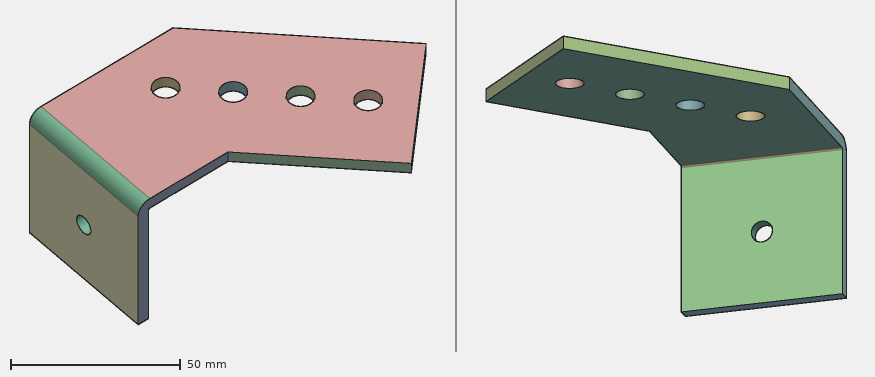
import cadquery as cq
import math

thickness = 4.0
inner_bend_radius = 0.5
outer_bend_radius = inner_bend_radius + thickness
strip_width = 50.0

flange_height = 50.0
flange_hole_diameter = 6.5
flange_hole_height = 22.5

turn_angle = 45.0
turn_center_y = 45.0
arm_outer_edge = 75.0
arm_hole_diameter = 8.5
arm_hole_count = 4
arm_hole_pitch = 20.0
arm_hole_end_distance = 15.0

along_x = math.sin(math.radians(turn_angle))
along_y = math.cos(math.radians(turn_angle))
across_x = along_y
across_y = -along_x

mitre_offset = strip_width / 2 * math.tan(math.radians(turn_angle / 2))
outer_corner_y = turn_center_y + mitre_offset
inner_corner_y = turn_center_y - mitre_offset

end_outer = (arm_outer_edge * along_x, outer_corner_y + arm_outer_edge * along_y)
end_inner = (end_outer[0] + strip_width * across_x, end_outer[1] + strip_width * across_y)
end_middle = ((end_outer[0] + end_inner[0]) / 2, (end_outer[1] + end_inner[1]) / 2)


def make_arm():
    """Flat horizontal plate from the bend to the end of the turned arm."""
    return (
        cq.Workplane("XY")
        .polyline([
            (0, outer_bend_radius),
            (0, outer_corner_y),
            end_outer,
            end_inner,
            (strip_width, inner_corner_y),
            (strip_width, outer_bend_radius),
        ])
        .close()
        .extrude(-thickness)
    )


def make_flange():
    """Bend and vertical flange, as a Y-Z profile extruded across the strip."""
    arc_share = math.sqrt(0.5)

    def bend_middle(radius):
        return (outer_bend_radius - radius * arc_share, -outer_bend_radius + radius * arc_share)

    return (
        cq.Workplane("YZ")
        .moveTo(outer_bend_radius, 0)
        .threePointArc(bend_middle(outer_bend_radius), (0, -outer_bend_radius))
        .lineTo(0, -flange_height)
        .lineTo(thickness, -flange_height)
        .lineTo(thickness, -outer_bend_radius)
        .threePointArc(bend_middle(inner_bend_radius), (outer_bend_radius, -thickness))
        .close()
        .extrude(strip_width)
    )


def make_arm_holes():
    """Row of holes on the centre line of the turned arm, counted back from its end."""
    centers = []
    for index in range(arm_hole_count):
        distance = arm_hole_end_distance + index * arm_hole_pitch
        centers.append((end_middle[0] - distance * along_x, end_middle[1] - distance * along_y))
    return cq.Workplane("XY").pushPoints(centers).circle(arm_hole_diameter / 2).extrude(-thickness)


def make_flange_hole():
    """Single hole through the middle of the flange width."""
    return (
        cq.Workplane("XZ")
        .center(strip_width / 2, flange_hole_height - flange_height)
        .circle(flange_hole_diameter / 2)
        .extrude(-thickness)
    )


result = make_arm().union(make_flange()).cut(make_arm_holes()).cut(make_flange_hole())